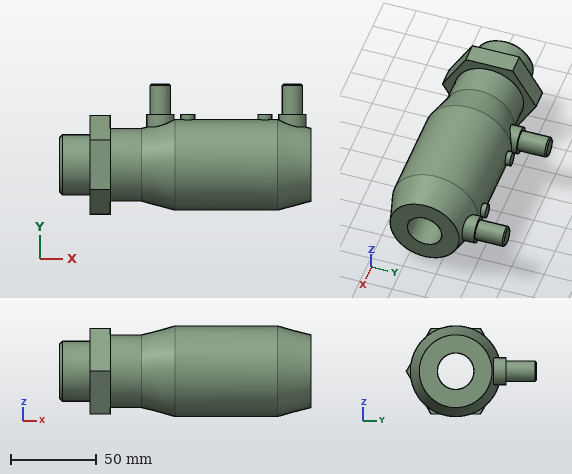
import cadquery as cq

length = 147.0
inlet_x = -length / 2
outlet_x = length / 2
hex_start_x = inlet_x + 17.8
hex_width = 12.0
neck_end_x = inlet_x + 47.9
barrel_length = 59.7
taper_length = 19.7
barrel_end_x = outlet_x - taper_length
barrel_start_x = barrel_end_x - barrel_length
barrel_middle_x = (barrel_start_x + barrel_end_x) / 2

bore_diameter = 21.2
spigot_diameter = 35.3
neck_diameter = 42.5
barrel_diameter = 53.0
hex_across_flats = 50.0
spigot_chamfer = 1.9

terminal_spacing = 77.0
pin_diameter = 12.0
pin_top_y = 47.0
pin_chamfer = 0.9
collar_diameter = 16.0
collar_top_y = 29.4
indicator_spacing = 45.0
indicator_diameter = 8.2
post_base_y = (bore_diameter + neck_diameter) / 4


def revolved_body():
    """Spigot, neck and barrel with a taper at each end."""
    spigot_radius = spigot_diameter / 2
    neck_radius = neck_diameter / 2
    barrel_radius = barrel_diameter / 2
    return (
        cq.Workplane("XY")
        .moveTo(inlet_x, 0)
        .lineTo(inlet_x, spigot_radius - spigot_chamfer)
        .lineTo(inlet_x + spigot_chamfer, spigot_radius)
        .lineTo(hex_start_x, spigot_radius)
        .lineTo(hex_start_x, neck_radius)
        .lineTo(neck_end_x, neck_radius)
        .lineTo(barrel_start_x, barrel_radius)
        .lineTo(barrel_end_x, barrel_radius)
        .lineTo(outlet_x, neck_radius)
        .lineTo(outlet_x, 0)
        .close()
        .revolve(360, (0, 0, 0), (1, 0, 0))
    )


def hexagon():
    """Wrench hexagon with corners on +Y and -Y and flats on +Z and -Z."""
    return (
        cq.Workplane("YZ", origin=(hex_start_x, 0, 0))
        .polygon(6, hex_across_flats, circumscribed=True)
        .extrude(hex_width)
        .rotate((0, 0, 0), (1, 0, 0), 90)
    )


def post(x, diameter, top_y):
    """Round post along +Y, rooted in the wall of the body."""
    return (
        cq.Workplane("XZ", origin=(x, post_base_y, 0))
        .circle(diameter / 2)
        .extrude(post_base_y - top_y)
    )


result = revolved_body().union(hexagon())
for side in (-1, 1):
    terminal_x = barrel_middle_x + side * terminal_spacing / 2
    indicator_x = barrel_middle_x + side * indicator_spacing / 2
    pin = post(terminal_x, pin_diameter, pin_top_y).faces(">Y").chamfer(pin_chamfer)
    result = result.union(post(terminal_x, collar_diameter, collar_top_y))
    result = result.union(pin)
    result = result.union(post(indicator_x, indicator_diameter, collar_top_y))

bore = cq.Workplane("YZ", origin=(inlet_x, 0, 0)).circle(bore_diameter / 2).extrude(length)
result = result.cut(bore)